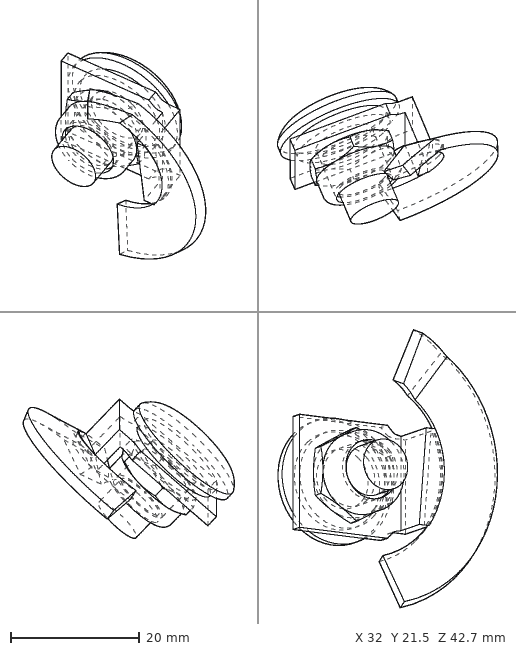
import cadquery as cq
import math


HEAD_RADIUS = 10.0
DOME_RADIUS = 4.0
DOME_DEPTH = 2.1
HEAD_DEPTH = 3.37
COLLAR_RADIUS = 7.75
PLATE_DEPTH = 5.0
SHANK_RADIUS = 4.7
STUD_RADIUS = 4.0
STUD_DEPTH = 18.0

HEX_SIDES = 6
HEX_ACROSS_FLATS = 12.98
HEX_HEIGHT = 2.85
HEX_CHAMFER_ANGLE = 30
NUT_DEPTH = 13.8
NUT_ROUNDING = 1.3
NUT_RECESS = 1.0

SHEET = 2.0
PLATE_HALF = 9.0
LEG_HALF = 7.5
NECK_HALF = 7.75
NECK_FILLET = 1.3
LEG_OUTER_X = 11.5
LEG_INNER_X = LEG_OUTER_X - SHEET
SHOULDER_X = 7.0
WEB_DEPTH = 13.55
WEB_SLOPE = 0.14
WEB_RADIUS = 13.8

BLADE_INNER_RADIUS = 13.35
BLADE_OUTER_RADIUS = 21.3
CONE_ANGLE = math.radians(20)
BLADE_START_ANGLE = -74.0
BLADE_BEND_ANGLE = 59.1
BLADE_TIP_ANGLE = 77.4
BLADE_START_DEPTH = 13.95
BLADE_BEND_DEPTH = 18.4
BLADE_TIP_DEPTH = 21.47
EDGE_STEPS = 8

CONE_SLOPE = math.tan(CONE_ANGLE)
WEB_THICKNESS = SHEET * math.cos(CONE_ANGLE)
CORNER_MARGIN = 0.43
SHANK_END_DEPTH = NUT_DEPTH - NUT_RECESS
NUT_SEAT_DEPTH = PLATE_DEPTH + SHEET


def at_depth(depth):
    """Workplane facing -Y at the given depth; its x and y are X and Z."""
    return cq.Workplane("XZ", origin=(0, -depth, 0))


def make_bolt():
    """Domed head, collar, shank and stud, turned about the Y axis."""
    dome_flat_radius = HEAD_RADIUS - math.sqrt(DOME_RADIUS**2 - (DOME_RADIUS - DOME_DEPTH) ** 2)
    half_sweep = math.acos(1 - DOME_DEPTH / DOME_RADIUS) / 2
    dome_middle = (
        dome_flat_radius + DOME_RADIUS * math.sin(half_sweep),
        -DOME_RADIUS * (1 - math.cos(half_sweep)),
    )
    return (
        cq.Workplane("XY")
        .lineTo(dome_flat_radius, 0)
        .threePointArc(dome_middle, (HEAD_RADIUS, -DOME_DEPTH))
        .lineTo(HEAD_RADIUS, -HEAD_DEPTH)
        .lineTo(COLLAR_RADIUS, -HEAD_DEPTH)
        .lineTo(COLLAR_RADIUS, -PLATE_DEPTH)
        .lineTo(SHANK_RADIUS, -PLATE_DEPTH)
        .lineTo(SHANK_RADIUS, -SHANK_END_DEPTH)
        .lineTo(STUD_RADIUS, -SHANK_END_DEPTH)
        .lineTo(STUD_RADIUS, -STUD_DEPTH)
        .lineTo(0, -STUD_DEPTH)
        .close()
        .revolve(360, (0, 0), (0, 1))
    )


def make_nut():
    """Hexagon chamfered at both ends, with a rounded cap bored for the shank."""
    flat_radius = HEX_ACROSS_FLATS / 2
    corner_radius = flat_radius / math.cos(math.pi / HEX_SIDES)
    chamfer_height = (corner_radius - flat_radius) * math.tan(math.radians(HEX_CHAMFER_ANGLE))
    hex_end_depth = NUT_SEAT_DEPTH + HEX_HEIGHT

    hexagon = (
        at_depth(NUT_SEAT_DEPTH)
        .transformed(rotate=(0, 0, 180 / HEX_SIDES))
        .polygon(HEX_SIDES, 2 * corner_radius)
        .extrude(HEX_HEIGHT)
    )
    chamfered_blank = (
        cq.Workplane("XY")
        .moveTo(0, -NUT_SEAT_DEPTH)
        .lineTo(flat_radius, -NUT_SEAT_DEPTH)
        .lineTo(corner_radius, -NUT_SEAT_DEPTH - chamfer_height)
        .lineTo(corner_radius, -hex_end_depth + chamfer_height)
        .lineTo(flat_radius, -hex_end_depth)
        .lineTo(0, -hex_end_depth)
        .close()
        .revolve(360, (0, 0), (0, 1))
    )
    cap = (
        at_depth(hex_end_depth)
        .circle(flat_radius)
        .extrude(NUT_DEPTH - hex_end_depth)
        .faces("<Y")
        .edges()
        .fillet(NUT_ROUNDING)
    )
    bore = at_depth(NUT_SEAT_DEPTH).circle(SHANK_RADIUS).extrude(NUT_DEPTH - NUT_SEAT_DEPTH)
    return hexagon.intersect(chamfered_blank).union(cap).cut(bore).solids()


def make_plate():
    """Square clamping plate narrowing to the neck, with the shank hole."""
    shoulder_end_x = SHOULDER_X + PLATE_HALF - NECK_HALF
    neck_middle = cq.Vector(shoulder_end_x, -PLATE_DEPTH - SHEET / 2, 0)
    neck_corners = cq.selectors.BoxSelector(
        neck_middle - cq.Vector(CORNER_MARGIN, CORNER_MARGIN, NECK_HALF + CORNER_MARGIN),
        neck_middle + cq.Vector(CORNER_MARGIN, CORNER_MARGIN, NECK_HALF + CORNER_MARGIN),
    )
    return (
        at_depth(PLATE_DEPTH)
        .moveTo(-PLATE_HALF, -PLATE_HALF)
        .lineTo(SHOULDER_X, -PLATE_HALF)
        .lineTo(shoulder_end_x, -NECK_HALF)
        .lineTo(LEG_INNER_X, -LEG_HALF)
        .lineTo(LEG_OUTER_X, -LEG_HALF)
        .lineTo(LEG_OUTER_X, LEG_HALF)
        .lineTo(LEG_INNER_X, LEG_HALF)
        .lineTo(shoulder_end_x, NECK_HALF)
        .lineTo(SHOULDER_X, PLATE_HALF)
        .lineTo(-PLATE_HALF, PLATE_HALF)
        .close()
        .extrude(SHEET)
        .edges(neck_corners)
        .fillet(NECK_FILLET)
        .cut(at_depth(PLATE_DEPTH).circle(SHANK_RADIUS).extrude(SHEET))
    )


def sloped_block(start_x, end_x, back_depths, front_depths):
    """Block of the leg's width; each depth pair is for its lower and upper side."""
    return (
        cq.Workplane("YZ", origin=(start_x, 0, 0))
        .moveTo(-back_depths[0], -LEG_HALF)
        .lineTo(-front_depths[0], -LEG_HALF)
        .lineTo(-front_depths[1], LEG_HALF)
        .lineTo(-back_depths[1], LEG_HALF)
        .close()
        .extrude(end_x - start_x)
    )


def make_leg_and_web():
    """Leg bent toward -Y, and the sloping web that joins it to the blade."""
    web_front = [WEB_DEPTH + WEB_SLOPE * z for z in (-LEG_HALF, LEG_HALF)]
    web_back = [depth - WEB_THICKNESS for depth in web_front]
    leg = sloped_block(LEG_INNER_X, LEG_OUTER_X, [PLATE_DEPTH, PLATE_DEPTH], web_front)
    web = sloped_block(LEG_INNER_X, WEB_RADIUS, web_back, web_front)
    web_limit = at_depth(PLATE_DEPTH).circle(WEB_RADIUS).extrude(BLADE_TIP_DEPTH)
    return leg.union(web.intersect(web_limit))


def blade_corner(angle, outer_depth, rise, outer, back):
    """(radius, angle in radians, depth) of one corner of the blade's section.

    Rise is the depth gained per radian. Back corners are set off from the front
    face by the sheet thickness along its normal.
    """
    radius = BLADE_OUTER_RADIUS if outer else BLADE_INNER_RADIUS
    theta = math.radians(angle)
    depth = outer_depth - (BLADE_OUTER_RADIUS - radius) * CONE_SLOPE
    if not back:
        return radius, theta, depth
    path_slope = rise / radius
    step = SHEET / math.sqrt(1 + CONE_SLOPE**2 + path_slope**2)
    around = step * path_slope
    along_radius = radius + step * CONE_SLOPE
    return math.hypot(along_radius, around), theta + math.atan2(around, along_radius), depth - step


def helical_edge(start, end):
    """Edge whose radius, angle and depth all change evenly from start to end."""
    points = []
    for step in range(EDGE_STEPS + 1):
        part = step / EDGE_STEPS
        radius, theta, depth = [a + (b - a) * part for a, b in zip(start, end)]
        points.append(cq.Vector(radius * math.cos(theta), -depth, radius * math.sin(theta)))
    return cq.Edge.makeSpline(points)


def make_blade():
    """Conical helical blade whose last stretch bends to a steeper helix."""
    rise = (BLADE_BEND_DEPTH - BLADE_START_DEPTH) / math.radians(BLADE_BEND_ANGLE - BLADE_START_ANGLE)
    tip_rise = (BLADE_TIP_DEPTH - BLADE_BEND_DEPTH) / math.radians(BLADE_TIP_ANGLE - BLADE_BEND_ANGLE)
    stations = [
        (BLADE_START_ANGLE, BLADE_START_DEPTH, rise),
        (BLADE_BEND_ANGLE, BLADE_BEND_DEPTH, (rise + tip_rise) / 2),
        (BLADE_TIP_ANGLE, BLADE_TIP_DEPTH, tip_rise),
    ]
    section_order = [(False, False), (True, False), (True, True), (False, True)]
    sections = [
        [blade_corner(*station, outer, back) for outer, back in section_order]
        for station in stations
    ]

    faces = []
    for near, far in zip(sections, sections[1:]):
        edges = [helical_edge(a, b) for a, b in zip(near, far)]
        for i, edge in enumerate(edges):
            faces.append(cq.Face.makeRuledSurface(edges[i - 1], edge))
    for section in (sections[0], sections[-1]):
        front_inner, front_outer, back_outer, back_inner = [
            cq.Vector(r * math.cos(t), -d, r * math.sin(t)) for r, t, d in section
        ]
        faces.append(cq.Face.makeRuledSurface(
            cq.Edge.makeLine(front_inner, front_outer),
            cq.Edge.makeLine(back_inner, back_outer),
        ))
    return cq.Workplane(cq.Solid.makeSolid(cq.Shell.makeShell(faces)))


def make_lever():
    """Plate, leg, web and blade as one bent sheet-metal piece."""
    return make_plate().union(make_leg_and_web()).union(make_blade()).solids()


bolt = make_bolt()
nut = make_nut()
lever = make_lever()

result = cq.Compound.makeCompound([bolt.val(), nut.val(), lever.val()])